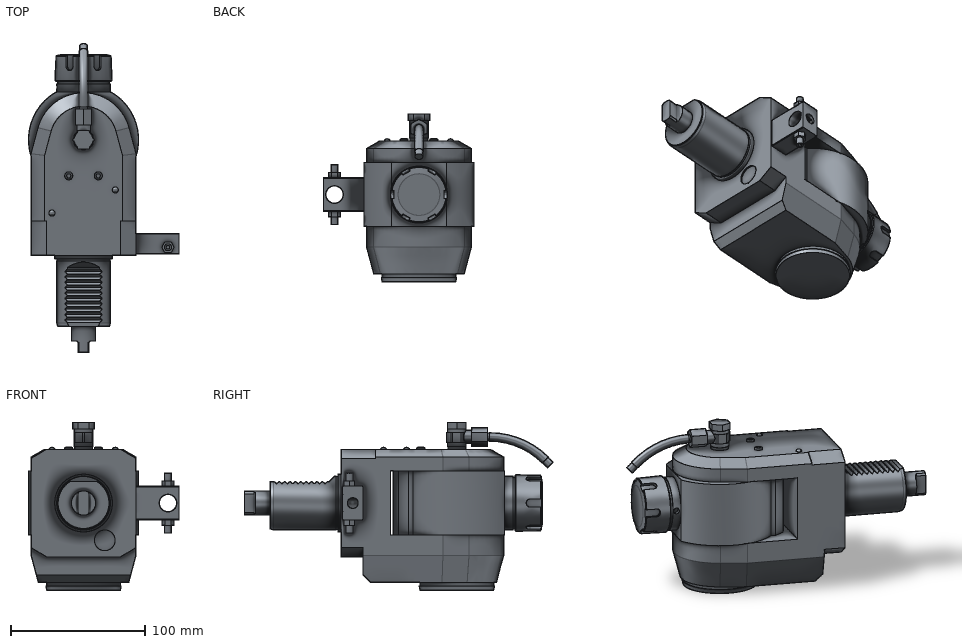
import cadquery as cq
import math


HALF_WIDTH = 39.0
TOP = 40.0
HEAD_Y = 86.0
REAR_RADIUS = 35.0
REAR_TAPER = math.radians(15)
TOP_BEVEL_ANGLE = 60.0
TOP_BEVEL_DROP = 5.8
FRONT_BLOCK_TOP_LENGTH = 25.5
FRONT_BLOCK_BOTTOM_LENGTH = 16.2
FRONT_BEVEL_WIDTH = 11.5
FRONT_BEVEL_DROP = 6.8

TAPER_TOP = -39.0
FLOOR = -59.0
LOWER_TAPER_ANGLE = 15.0
LOWER_FRONT_BEVEL = 5.6

HEAD_RADIUS = 41.0
HEAD_Z = (-23.6, 24.0)
HEAD_REAR_Y = 121.5
WINDOW_FRONT_Y = 36.7
CORE_RADIUS = 47.4
CORE_WAIST_X = 25.1
CORE_WAIST_FRONT_Y = 50.0
CORE_NOSE_Y = 42.5

COVER_RADIUS = 28.0
COVER_BOTTOM = -64.9
COVER_STEP_Z = -61.7
COVER_EDGE_TAPER = 0.6
COVER_STEP = 0.5

SHANK_RADIUS = 20.0
SHANK_END = -53.0
SHANK_CHAMFER_LENGTH = 2.7
SHANK_CHAMFER_DEPTH = 0.6
SHANK_END_CHAMFER = 0.5
COLLAR_RADIUS = 21.5
COLLAR_LENGTH = 2.5
COLLAR_ROUND = 0.4
RELIEF_RADIUS = 19.8
RELIEF_END = -4.0
SHANK_FLAT_Z = 16.0
FLAT_RAMP_Y = -5.0
TOOTH_PITCH = 4.0
TOOTH_COUNT = 10
TOOTH_DEPTH = 1.6
TOOTH_HALF_WIDTH = 1.8
FIRST_TOOTH_Y = -12.0

DRIVE_RADIUS = 9.0
TANG_START = -63.7
TANG_END = -72.0
TANG_WIDTH = 8.4
TANG_ROOT_RADIUS = 1.0
TANG_FLAT_HALF_HEIGHT = 6.9
TANG_BEVEL_WIDTH = 1.4
TANG_BEVEL_HEIGHT = 2.1

NOSE_RADIUS = 20.0
NECK_RADIUS = 19.3
NUT_RADIUS = 20.8
NUT_SKIRT_RADIUS = 21.2
NECK_START_Y = 127.6
NUT_START_Y = 129.3
SKIRT_CHAMFER = 0.7
NUT_EDGE_Y = 148.1
NUT_RIM_CHAMFER = 0.6
NUT_END_Y = 149.6
NUT_FACE_RADIUS = 15.5
WRENCH_SLOT_COUNT = 6
WRENCH_SLOT_WIDTH = 6.0
WRENCH_SLOT_FLOOR = 18.5
WRENCH_SLOT_END_Y = 137.6
NOSE_HOLE_Y = 125.0
NOSE_HOLE_RADIUS = 2.2
NOSE_HOLE_DEPTH = 4.0

FITTING_RADIUS = 7.0
FITTING_FOOT_RADIUS = 6.7
FITTING_FOOT_TOP = 42.1
FITTING_HEX_Z = (45.2, 52.5)
FITTING_HEX_CORNER = 7.7
CAP_BOTTOM = 55.0
CAP_TOP = 60.0
FITTING_FLATS = 14.0
HOSE_Z = 49.15
HOSE_NECK_RADIUS = 5.0
HOSE_NUT_FLATS = 12.0
HOSE_NUT_Y = (97.0, 109.0)
HOSE_RADIUS = 3.2
FERRULE_RADIUS = 2.95
HOSE_START_Y = 110.4
HOSE_BEND_RADIUS = 58.5
HOSE_BEND = math.radians(45)
FERRULE_LENGTH = 5.37

BRACKET_END_X = 71.0
BRACKET_Y = (1.0, 16.3)
BRACKET_HALF_HEIGHT = 12.5
BRACKET_EDGE = 0.5
BRACKET_HOLE_X = 62.8
BRACKET_HOLE_RADIUS = 6.4
BRACKET_END_HOLE_RADIUS = 4.0
SCREW_Y = 6.1
SCREW_RADIUS = 2.6
SCREW_END_Z = 22.3
SCREW_SOCKET_FLATS = 2.5
SCREW_SOCKET_DEPTH = 2.5
LOCKNUT_FLATS = 8.0
LOCKNUT_HEIGHT = 4.0

CAP_SCREW_X = 11.0
CAP_SCREW_Y = 59.2
CAP_SCREW_RADIUS = 3.0
CAP_SCREW_HEIGHT = 1.5
CAP_SCREW_ROUND = 0.9
CAP_SCREW_SOCKET_FLATS = 3.0
CAP_SCREW_SOCKET_DEPTH = 1.2
BALL_PLACES = ((23.6, 48.7), (-23.5, 31.5))
BALL_RADIUS = 2.45
BALL_HEIGHT = 1.5
PORT_X = 15.8
PORT_Z = -27.7
PORT_RADIUS = 7.7
PORT_DEPTH = 1.0

OVERRUN = 20.0


def box(x_range, y_range, z_range):
    """Axis-aligned box between the given limits."""
    size = [high - low for low, high in (x_range, y_range, z_range)]
    return cq.Workplane("XY").box(*size, centered=False).translate((x_range[0], y_range[0], z_range[0]))


def cylinder_z(radius, z_range, x=0.0, y=0.0):
    """Upright cylinder."""
    low, high = z_range
    return cq.Workplane("XY", origin=(x, y, low)).circle(radius).extrude(high - low)


def cylinder_y(radius, y_range, x=0.0, z=0.0):
    """Cylinder along Y."""
    low, high = y_range
    return cq.Workplane("XZ", origin=(x, low, z)).circle(radius).extrude(low - high)


def hexagon_z(flats, z_range, x=0.0, y=0.0, turn=0.0):
    """Upright hexagonal prism; with no turn two corners lie along X."""
    low, high = z_range
    corner_diameter = flats / math.cos(math.pi / 6)
    prism = cq.Workplane("XY").polygon(6, corner_diameter).extrude(high - low)
    return prism.rotate((0, 0, 0), (0, 0, 1), turn).translate((x, y, low))


def revolve_y(profile):
    """Solid turned about the Y axis from (radius, y) points."""
    return cq.Workplane("XY").polyline(profile).close().revolve(360, (0, 0, 0), (0, 1, 0))


def body_outline(z):
    """Plan outline of the body, running past the front face so that only sides and rear taper."""
    tangent_x = REAR_RADIUS * math.cos(REAR_TAPER)
    tangent_y = HEAD_Y + REAR_RADIUS * math.sin(REAR_TAPER)
    corner_y = tangent_y - (HALF_WIDTH - tangent_x) / math.tan(REAR_TAPER)
    return (
        cq.Workplane("XY", origin=(0, 0, z))
        .moveTo(-HALF_WIDTH, -OVERRUN)
        .lineTo(HALF_WIDTH, -OVERRUN)
        .lineTo(HALF_WIDTH, corner_y)
        .lineTo(tangent_x, tangent_y)
        .threePointArc((0, HEAD_Y + REAR_RADIUS), (-tangent_x, tangent_y))
        .lineTo(-HALF_WIDTH, corner_y)
        .close()
    )


def make_main_body():
    """Bevelled upper body joined to the tapered lower body, both cut off at their front ends."""
    bevel_z = TOP - TOP_BEVEL_DROP
    upper = body_outline(TAPER_TOP).extrude(bevel_z - TAPER_TOP)
    upper = upper.union(body_outline(bevel_z).extrude(TOP_BEVEL_DROP, taper=TOP_BEVEL_ANGLE))
    lower = body_outline(TAPER_TOP).extrude(FLOOR - TAPER_TOP, taper=LOWER_TAPER_ANGLE)
    body = upper.union(lower)
    front = FRONT_BLOCK_BOTTOM_LENGTH
    trim_end = HEAD_Y + REAR_RADIUS + OVERRUN
    trim_profile = [
        (trim_end, TOP),
        (FRONT_BLOCK_TOP_LENGTH, TOP),
        (FRONT_BLOCK_TOP_LENGTH, 0),
        (front, 0),
        (front, FLOOR + LOWER_FRONT_BEVEL),
        (front + LOWER_FRONT_BEVEL, FLOOR),
        (trim_end, FLOOR),
    ]
    trim = cq.Workplane("YZ").polyline(trim_profile).close().extrude(HALF_WIDTH, both=True)
    return body.intersect(trim)


def make_front_block():
    """Front of the body: a square section with all four long edges bevelled."""
    inner_x = HALF_WIDTH - FRONT_BEVEL_WIDTH
    inner_z = TOP - FRONT_BEVEL_DROP
    section = [
        (inner_x, TOP),
        (HALF_WIDTH, inner_z),
        (HALF_WIDTH, -inner_z),
        (inner_x, -TOP),
        (-inner_x, -TOP),
        (-HALF_WIDTH, -inner_z),
        (-HALF_WIDTH, inner_z),
        (-inner_x, TOP),
    ]
    block = cq.Workplane("XZ").polyline(section).close().extrude(-FRONT_BLOCK_TOP_LENGTH)
    behind_step = (FRONT_BLOCK_BOTTOM_LENGTH, FRONT_BLOCK_TOP_LENGTH)
    return block.cut(box((-HALF_WIDTH, HALF_WIDTH), behind_step, (-TOP, 0)))


def make_head():
    """Disc with a flat rear, and the narrower core that reaches forward inside the window."""
    disc = cylinder_z(HEAD_RADIUS, HEAD_Z, y=HEAD_Y)
    disc = disc.intersect(box((-HEAD_RADIUS, HEAD_RADIUS), (0, HEAD_REAR_Y), HEAD_Z))
    nose_x = math.sqrt(CORE_RADIUS**2 - (HEAD_Y - CORE_NOSE_Y) ** 2)
    core = (
        cq.Workplane("XY", origin=(0, 0, HEAD_Z[0]))
        .moveTo(-CORE_WAIST_X, HEAD_Y)
        .lineTo(-CORE_WAIST_X, CORE_WAIST_FRONT_Y)
        .lineTo(-nose_x, CORE_NOSE_Y)
        .threePointArc((0, HEAD_Y - CORE_RADIUS), (nose_x, CORE_NOSE_Y))
        .lineTo(CORE_WAIST_X, CORE_WAIST_FRONT_Y)
        .lineTo(CORE_WAIST_X, HEAD_Y)
        .close()
        .extrude(HEAD_Z[1] - HEAD_Z[0])
    )
    return disc.union(core)


def make_window():
    """Opening through both sides of the body around the head."""
    side = HALF_WIDTH + OVERRUN
    return box((-side, side), (WINDOW_FRONT_Y, HEAD_Y), HEAD_Z)


def make_cover():
    """Round cover with a tapered lower edge."""
    neck = cylinder_z(COVER_RADIUS - COVER_STEP, (COVER_STEP_Z, FLOOR), y=HEAD_Y)
    plate = cylinder_z(COVER_RADIUS, (COVER_BOTTOM, COVER_STEP_Z), y=HEAD_Y)
    plate = plate.faces("<Z").chamfer(COVER_STEP_Z - COVER_BOTTOM - COVER_STEP, COVER_EDGE_TAPER)
    return neck.union(plate)


def make_shank():
    """Cylindrical shank with collar, serrated flat, drive shaft and tang."""
    end_radius = SHANK_RADIUS - SHANK_CHAMFER_DEPTH
    shank = revolve_y([
        (0, 0),
        (RELIEF_RADIUS, 0),
        (RELIEF_RADIUS, RELIEF_END),
        (SHANK_RADIUS, RELIEF_END),
        (SHANK_RADIUS, SHANK_END + SHANK_CHAMFER_LENGTH),
        (end_radius, SHANK_END + SHANK_END_CHAMFER),
        (end_radius - SHANK_END_CHAMFER, SHANK_END),
        (0, SHANK_END),
    ])
    ramp_foot_y = FLAT_RAMP_Y - (SHANK_RADIUS - SHANK_FLAT_Z)
    flat_profile = [
        (FLAT_RAMP_Y + OVERRUN, SHANK_RADIUS + OVERRUN),
        (ramp_foot_y, SHANK_FLAT_Z),
        (SHANK_END - OVERRUN, SHANK_FLAT_Z),
        (SHANK_END - OVERRUN, SHANK_RADIUS + OVERRUN),
    ]
    shank = shank.cut(cq.Workplane("YZ").polyline(flat_profile).close().extrude(SHANK_RADIUS, both=True))
    for index in range(TOOTH_COUNT):
        valley_y = FIRST_TOOTH_Y - index * TOOTH_PITCH
        groove_profile = [
            (valley_y - TOOTH_HALF_WIDTH, SHANK_FLAT_Z),
            (valley_y, SHANK_FLAT_Z - TOOTH_DEPTH),
            (valley_y + TOOTH_HALF_WIDTH, SHANK_FLAT_Z),
        ]
        groove = cq.Workplane("YZ").polyline(groove_profile).close().extrude(SHANK_RADIUS, both=True)
        shank = shank.cut(groove)
    collar = cylinder_y(COLLAR_RADIUS, (-COLLAR_LENGTH, 0)).faces("<Y").edges().fillet(COLLAR_ROUND)
    return shank.union(collar).union(make_drive())


def make_drive():
    """Round drive shaft ending in a flat tang with filleted root and bevelled long edges."""
    half = TANG_WIDTH / 2
    root = TANG_ROOT_RADIUS
    arc_offset = root * (1 - math.sqrt(0.5))
    shaft = cylinder_y(DRIVE_RADIUS, (TANG_END, SHANK_END))
    cheek = (
        cq.Workplane("XY")
        .moveTo(OVERRUN, TANG_START)
        .lineTo(half + root, TANG_START)
        .threePointArc((half + arc_offset, TANG_START - arc_offset), (half, TANG_START - root))
        .lineTo(half, TANG_END)
        .lineTo(OVERRUN, TANG_END)
        .close()
        .extrude(DRIVE_RADIUS, both=True)
    )
    bevel_profile = [
        (half, TANG_FLAT_HALF_HEIGHT),
        (half, TANG_FLAT_HALF_HEIGHT + TANG_BEVEL_HEIGHT),
        (half - TANG_BEVEL_WIDTH, TANG_FLAT_HALF_HEIGHT + TANG_BEVEL_HEIGHT),
    ]
    bevel = (
        cq.Workplane("XZ", origin=(0, TANG_END, 0))
        .polyline(bevel_profile)
        .close()
        .extrude(TANG_END - TANG_START + root)
    )
    cutter = cheek.union(bevel).union(bevel.mirror("XY"))
    return shaft.cut(cutter).cut(cutter.mirror("YZ"))


def make_spindle_nose():
    """Spindle nose and slotted collet nut."""
    nose = revolve_y([
        (0, HEAD_Y),
        (NOSE_RADIUS, HEAD_Y),
        (NOSE_RADIUS, NECK_START_Y),
        (NECK_RADIUS, NECK_START_Y),
        (NECK_RADIUS, NUT_START_Y),
        (NUT_SKIRT_RADIUS - SKIRT_CHAMFER, NUT_START_Y),
        (NUT_SKIRT_RADIUS, NUT_START_Y + SKIRT_CHAMFER),
        (NUT_RADIUS, NUT_EDGE_Y),
        (NUT_RADIUS - NUT_RIM_CHAMFER, NUT_EDGE_Y + NUT_RIM_CHAMFER),
        (NUT_FACE_RADIUS, NUT_END_Y),
        (0, NUT_END_Y),
    ])
    half_slot = WRENCH_SLOT_WIDTH / 2
    arc_y = WRENCH_SLOT_END_Y + half_slot
    slot = (
        cq.Workplane("XY", origin=(0, 0, WRENCH_SLOT_FLOOR))
        .moveTo(-half_slot, NUT_END_Y)
        .lineTo(-half_slot, arc_y)
        .threePointArc((0, WRENCH_SLOT_END_Y), (half_slot, arc_y))
        .lineTo(half_slot, NUT_END_Y)
        .close()
        .extrude(OVERRUN)
    )
    for index in range(WRENCH_SLOT_COUNT):
        angle = (index + 0.5) * 360 / WRENCH_SLOT_COUNT
        nose = nose.cut(slot.rotate((0, 0, 0), (0, 1, 0), angle))
    hole = (
        cq.Workplane("YZ", origin=(-NOSE_RADIUS, NOSE_HOLE_Y, 0))
        .circle(NOSE_HOLE_RADIUS)
        .extrude(NOSE_HOLE_DEPTH)
    )
    return nose.cut(hole)


def make_fitting():
    """Upright banjo fitting with a hexagonal middle and cap."""
    fitting = cylinder_z(FITTING_FOOT_RADIUS, (TOP, FITTING_FOOT_TOP), y=HEAD_Y)
    fitting = fitting.union(cylinder_z(FITTING_RADIUS, (FITTING_FOOT_TOP, CAP_BOTTOM), y=HEAD_Y))
    middle = hexagon_z(FITTING_FLATS, FITTING_HEX_Z, y=HEAD_Y, turn=30)
    middle = middle.intersect(cylinder_z(FITTING_HEX_CORNER, FITTING_HEX_Z, y=HEAD_Y))
    cap = hexagon_z(FITTING_FLATS, (CAP_BOTTOM, CAP_TOP), y=HEAD_Y)
    return fitting.union(middle).union(cap)


def make_hose():
    """Hose nut, curved hose and end ferrule, leaving the fitting along +Y and bending down."""
    neck = cylinder_y(HOSE_NECK_RADIUS, (HEAD_Y, HOSE_NUT_Y[0]), z=HOSE_Z)
    corner_diameter = HOSE_NUT_FLATS / math.cos(math.pi / 6)
    nut_length = HOSE_NUT_Y[1] - HOSE_NUT_Y[0]
    nut = cq.Workplane("XZ").polygon(6, corner_diameter).extrude(-nut_length)
    nut = nut.rotate((0, 0, 0), (0, 1, 0), 30).translate((0, HOSE_NUT_Y[0], HOSE_Z))
    stub = cylinder_y(FERRULE_RADIUS, (HOSE_NUT_Y[1], HOSE_START_Y), z=HOSE_Z)

    def bend_point(angle):
        y = HOSE_START_Y + HOSE_BEND_RADIUS * math.sin(angle)
        return y, HOSE_Z - HOSE_BEND_RADIUS * (1 - math.cos(angle))

    bend_end = bend_point(HOSE_BEND)
    path = (
        cq.Workplane("YZ")
        .moveTo(HOSE_START_Y, HOSE_Z)
        .threePointArc(bend_point(HOSE_BEND / 2), bend_end)
    )
    hose = cq.Workplane("XZ", origin=(0, HOSE_START_Y, HOSE_Z)).circle(HOSE_RADIUS).sweep(path)
    end_plane = cq.Plane(
        origin=(0, *bend_end),
        xDir=(1, 0, 0),
        normal=(0, math.cos(HOSE_BEND), -math.sin(HOSE_BEND)),
    )
    ferrule = cq.Workplane(end_plane).circle(FERRULE_RADIUS).extrude(FERRULE_LENGTH)
    return neck.union(nut).union(stub).union(hose).union(ferrule)


def make_bracket():
    """Side bracket with a cross hole, a hole in its end and a locked set screw above and below."""
    height = BRACKET_HALF_HEIGHT
    bracket = box((HALF_WIDTH, BRACKET_END_X), BRACKET_Y, (-height, height))
    bracket = bracket.edges("|X").chamfer(BRACKET_EDGE)
    bracket = bracket.cut(cylinder_y(BRACKET_HOLE_RADIUS, BRACKET_Y, BRACKET_HOLE_X))
    end_hole = (
        cq.Workplane("YZ", origin=(BRACKET_HOLE_X, sum(BRACKET_Y) / 2, 0))
        .circle(BRACKET_END_HOLE_RADIUS)
        .extrude(BRACKET_END_X - BRACKET_HOLE_X)
    )
    bracket = bracket.cut(end_hole)
    place = {"x": BRACKET_HOLE_X, "y": SCREW_Y}
    screw = cylinder_z(SCREW_RADIUS, (height, SCREW_END_Z), **place)
    socket_z = (SCREW_END_Z - SCREW_SOCKET_DEPTH, SCREW_END_Z)
    screw = screw.cut(hexagon_z(SCREW_SOCKET_FLATS, socket_z, **place))
    screw = screw.union(hexagon_z(LOCKNUT_FLATS, (height, height + LOCKNUT_HEIGHT), **place))
    return bracket.union(screw).union(screw.mirror("XY"))


def make_top_details():
    """Two socket screw heads and two ball nozzles on the top face."""
    head_top = TOP + CAP_SCREW_HEIGHT
    details = []
    for x in (-CAP_SCREW_X, CAP_SCREW_X):
        head = cylinder_z(CAP_SCREW_RADIUS, (TOP, head_top), x, CAP_SCREW_Y)
        head = head.faces(">Z").edges().fillet(CAP_SCREW_ROUND)
        socket_z = (head_top - CAP_SCREW_SOCKET_DEPTH, head_top)
        details.append(head.cut(hexagon_z(CAP_SCREW_SOCKET_FLATS, socket_z, x, CAP_SCREW_Y)))
    for x, y in BALL_PLACES:
        center = (x, y, TOP + BALL_HEIGHT - BALL_RADIUS)
        details.append(cq.Workplane("XY").sphere(BALL_RADIUS).translate(center))
    return details


body = make_main_body().union(make_front_block())
body = body.cut(make_window()).union(make_head())
body = body.cut(cylinder_y(PORT_RADIUS, (0, PORT_DEPTH), PORT_X, PORT_Z))
for part in (make_cover(), make_shank(), make_spindle_nose(), make_fitting(), make_hose(), make_bracket()):
    body = body.union(part)
for detail in make_top_details():
    body = body.union(detail)

result = body